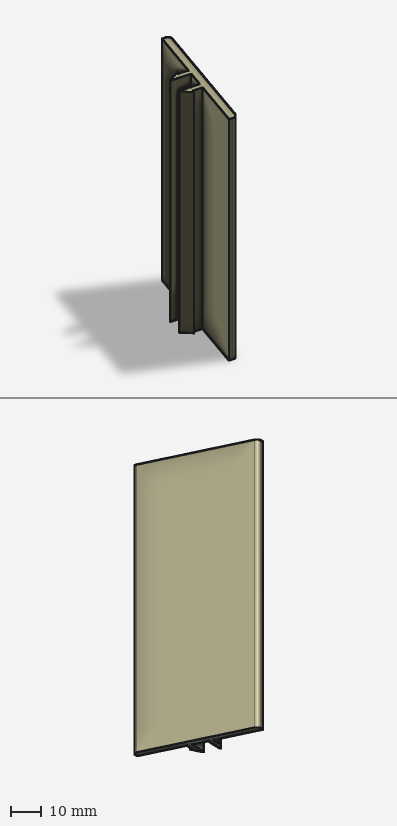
import cadquery as cq

length = 100.0
plate_width = 47.0
plate_thickness = 3.0
edge_radius = 1.5

total_depth = 10.5
leg_gap = 6.0
leg_thickness = 2.0
barb_overhang = 0.8
barb_shelf_depth = 6.5
tip_width = 0.4

leg_inner_x = leg_gap / 2
leg_outer_x = leg_inner_x + leg_thickness
barb_x = leg_outer_x + barb_overhang
tip_x = leg_inner_x + tip_width


def make_plate():
    """Flat plate with its two long outer edges rounded."""
    plate = cq.Workplane("XY").box(
        plate_width, plate_thickness, length, centered=(True, False, True)
    )
    plate = plate.translate((0, -plate_thickness, 0))
    return plate.faces(">Y").edges("|Z").fillet(edge_radius)


def make_leg():
    """Leg on the +X side, with a shelf and a tapered lead-in on its outer face."""
    root_y = -plate_thickness / 2
    profile = [
        (leg_inner_x, root_y),
        (leg_outer_x, root_y),
        (leg_outer_x, -barb_shelf_depth),
        (barb_x, -barb_shelf_depth),
        (tip_x, -total_depth),
        (leg_inner_x, -total_depth),
    ]
    return cq.Workplane("XY").polyline(profile).close().extrude(length / 2, both=True)


leg = make_leg()
result = make_plate().union(leg).union(leg.mirror("YZ"))